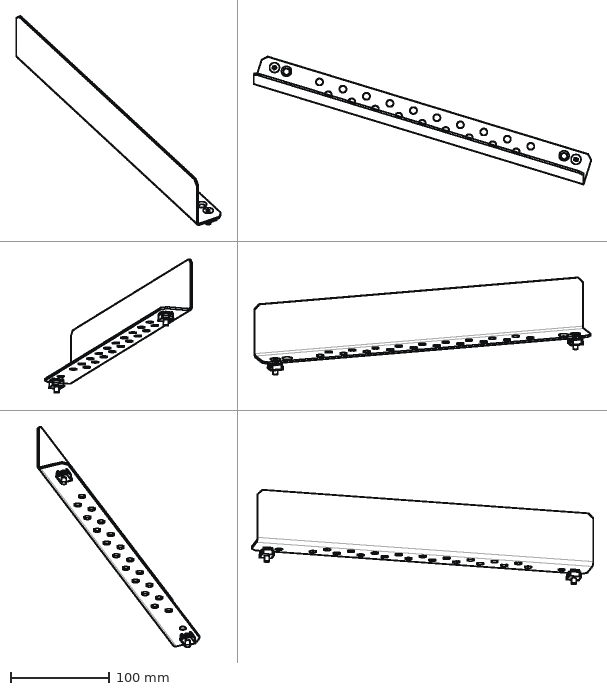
import cadquery as cq

LENGTH = 351.0
DEPTH = 32.0
WALL_HEIGHT = 55.0
THICKNESS = 2.0
BEND_INNER_RADIUS = 2.0
BEND_OUTER_RADIUS = BEND_INNER_RADIUS + THICKNESS
CORNER_CHAMFER = 5.0

VENT_DIAMETER = 7.0
VENT_PITCH = 25.0
VENT_ROW_SPACING = 10.0
REAR_VENT_COUNT = 10
FRONT_VENT_COUNT = REAR_VENT_COUNT - 1
REAR_VENT_Y = 22.5
FRONT_VENT_Y = REAR_VENT_Y - VENT_ROW_SPACING

SCREW_X = 160.5
SCREW_HOLE_PITCH = 12.7
SCREW_Y = 23.0
COUNTERSINK_DIAMETER = 10.2
SCREW_HOLE_DIAMETER = COUNTERSINK_DIAMETER - 2 * THICKNESS

SHANK_DIAMETER = 5.0
SCREW_REACH = 13.7
SOCKET_DEPTH = 2.0
SOCKET_CORE_RADIUS = 1.2
SOCKET_LOBE_COUNT = 6
SOCKET_LOBE_RADIUS = 0.4
SOCKET_LOBE_CENTER_RADIUS = 1.6

CAGE_SIZE = 12.7
CAGE_THICKNESS = 1.0
CAGE_BOTTOM = -8.4
CAGE_BEND_RADIUS = 0.95
CAGE_WALL_LENGTH = 9.2
CAGE_WALL_TAPER = 0.5
CAGE_WALL_TOP = -1.3
LIP_LENGTH = 9.0
LIP_THICKNESS = 1.0
LIP_TOP = -0.3
NUT_TOP = -2.9
NUT_STEP_Z = -5.2
NUT_BOTTOM = CAGE_BOTTOM + CAGE_THICKNESS
NUT_WIDTH = CAGE_SIZE - 2 * CAGE_THICKNESS
NUT_UPPER_LENGTH = 11.8
NUT_LOWER_LENGTH = 13.2


def box_between(length, width, bottom, top):
    """A block centred on the Z axis that spans the given heights."""
    return (
        cq.Workplane("XY")
        .workplane(offset=bottom)
        .rect(length, width)
        .extrude(top - bottom)
    )


def row_of_points(count, y):
    """Vent centres spaced evenly along X, symmetric about the middle of the bracket."""
    first = -(count - 1) * VENT_PITCH / 2
    return [(first + i * VENT_PITCH, y) for i in range(count)]


def make_bracket():
    profile = (
        cq.Workplane("YZ")
        .moveTo(DEPTH, 0)
        .lineTo(DEPTH, THICKNESS)
        .lineTo(BEND_OUTER_RADIUS, THICKNESS)
        .radiusArc((THICKNESS, BEND_OUTER_RADIUS), BEND_INNER_RADIUS)
        .lineTo(THICKNESS, WALL_HEIGHT)
        .lineTo(0, WALL_HEIGHT)
        .lineTo(0, BEND_OUTER_RADIUS)
        .radiusArc((BEND_OUTER_RADIUS, 0), -BEND_OUTER_RADIUS)
        .close()
    )
    bracket = profile.extrude(LENGTH / 2, both=True)

    bracket = bracket.edges(">Z and |Y").edges("<X or >X").chamfer(CORNER_CHAMFER)
    bracket = bracket.edges(">Y and |Z").edges("<X or >X").chamfer(CORNER_CHAMFER)

    vents = row_of_points(REAR_VENT_COUNT, REAR_VENT_Y) + row_of_points(FRONT_VENT_COUNT, FRONT_VENT_Y)
    bracket = bracket.cut(cq.Workplane("XY").pushPoints(vents).circle(VENT_DIAMETER / 2).extrude(THICKNESS))

    screw_holes = [
        (side * (SCREW_X - inset), SCREW_Y)
        for side in (-1, 1)
        for inset in (0, SCREW_HOLE_PITCH)
    ]
    for x, y in screw_holes:
        cone = cq.Solid.makeCone(
            SCREW_HOLE_DIAMETER / 2, COUNTERSINK_DIAMETER / 2, THICKNESS, pnt=cq.Vector(x, y, 0)
        )
        bracket = bracket.cut(cq.Workplane(cone))
    return bracket


def make_screw():
    """Countersunk screw on the Z axis, its head flush with the top of the flange."""
    shank_radius = SHANK_DIAMETER / 2
    head_radius = COUNTERSINK_DIAMETER / 2
    head_bottom = THICKNESS - (head_radius - shank_radius)
    screw = (
        cq.Workplane("XZ")
        .moveTo(0, -SCREW_REACH)
        .lineTo(shank_radius, -SCREW_REACH)
        .lineTo(shank_radius, head_bottom)
        .lineTo(head_radius, THICKNESS)
        .lineTo(0, THICKNESS)
        .close()
        .revolve(360, (0, 0, 0), (0, 1, 0))
    )
    socket_floor = cq.Workplane("XY").workplane(offset=THICKNESS - SOCKET_DEPTH)
    socket = socket_floor.circle(SOCKET_CORE_RADIUS).extrude(SOCKET_DEPTH)
    lobes = (
        socket_floor
        .polarArray(SOCKET_LOBE_CENTER_RADIUS, 90, 360, SOCKET_LOBE_COUNT)
        .circle(SOCKET_LOBE_RADIUS)
        .extrude(SOCKET_DEPTH)
    )
    return screw.cut(socket.union(lobes))


def shank_bore():
    return cq.Workplane("XY").circle(SHANK_DIAMETER / 2).extrude(CAGE_BOTTOM)


def make_nut():
    """Square nut, a little longer in its lower half."""
    lower = box_between(NUT_LOWER_LENGTH, NUT_WIDTH, NUT_BOTTOM, NUT_STEP_Z)
    upper = box_between(NUT_UPPER_LENGTH, NUT_WIDTH, NUT_STEP_Z, NUT_TOP)
    return lower.union(upper).cut(shank_bore())


def make_cage():
    """Base under the nut and two side walls, each with a lip that turns in over the nut."""
    outer_y = CAGE_SIZE / 2
    nut_y = NUT_WIDTH / 2
    base = box_between(CAGE_SIZE, CAGE_SIZE, CAGE_BOTTOM, NUT_BOTTOM)
    wall = (
        cq.Workplane("YZ")
        .moveTo(nut_y, CAGE_BOTTOM)
        .lineTo(outer_y, CAGE_BOTTOM)
        .lineTo(outer_y, NUT_TOP)
        .lineTo(outer_y - CAGE_WALL_TAPER, CAGE_WALL_TOP)
        .lineTo(nut_y, CAGE_WALL_TOP)
        .close()
        .extrude(CAGE_WALL_LENGTH / 2, both=True)
    )
    lip_y = nut_y - LIP_THICKNESS / 2
    lip = box_between(LIP_LENGTH, LIP_THICKNESS, NUT_TOP, LIP_TOP).translate((0, lip_y, 0))
    side = wall.union(lip)
    cage = base.union(side).union(side.mirror("XZ"))
    cage = cage.edges("|X").edges("<Z").fillet(CAGE_BEND_RADIUS)
    return cage.cut(shank_bore())


bracket = make_bracket()
bodies = [bracket.val()]
for side in (-1, 1):
    place = (side * SCREW_X, SCREW_Y, 0)
    screw = make_screw().translate(place)
    nut = make_nut().translate(place)
    cage = make_cage().translate(place)
    bodies += [screw.val(), nut.val(), cage.val()]

result = cq.Compound.makeCompound(bodies)